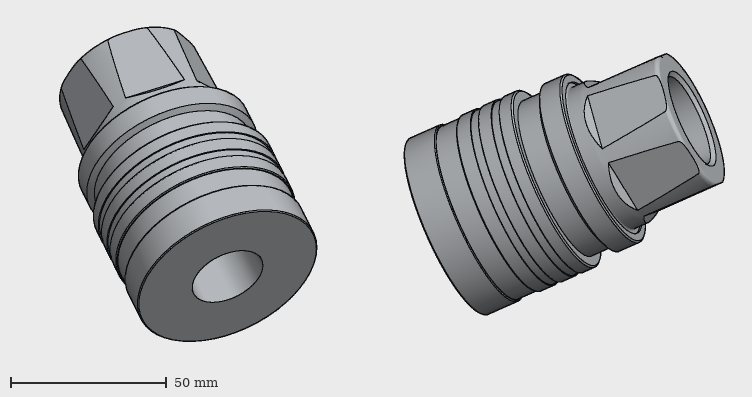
import cadquery as cq
import math

length = 88.3

nose_front_radius = 23.5
nose_end = 27.1
nose_fillet = 1.5

flat_count = 6
flat_distance = 22.5
flat_end = 25.0

neck_radius = 24.8

collar_start = 32.0
collar_taper_start = 39.8
collar_taper_end = 41.0
collar_radius = 29.5
collar_taper_small_radius = 27.3

undercut_outer_radius = 26.5
undercut_depth = 0.7

sleeve_start = 48.8
sleeve_radius = 31.0
front_chamfer = 0.5
rear_chamfer = 0.35
narrow_groove_starts = (53.7, 61.2)
narrow_groove_width = 2.9
narrow_groove_depth = 0.4
wide_groove_start = 69.3
wide_groove_end = 76.8
wide_groove_depth = 0.6

through_radius = 12.2
counterbore_radius = 15.3
counterbore_depth = 21.55
mouth_chamfer = 1.3


def turn(outline):
    """Revolve a closed (x, radius) outline about the X axis."""
    return outline.close().revolve(360, (0, 0, 0), (1, 0, 0))


def make_narrow_groove(start):
    """Ring cutter for a shallow groove in the sleeve."""
    floor_radius = sleeve_radius - narrow_groove_depth
    outer_radius = sleeve_radius + narrow_groove_depth
    profile = cq.Workplane("YZ", origin=(start, 0, 0)).circle(outer_radius).circle(floor_radius)
    return profile.extrude(narrow_groove_width)


def make_nose():
    """Cone with a rounded front edge and six flats."""
    cone = turn(
        cq.Workplane("XY")
        .lineTo(0, nose_front_radius)
        .lineTo(nose_end, neck_radius)
        .lineTo(collar_start, neck_radius)
        .lineTo(collar_start, 0)
    )
    cone = cone.faces("<X").edges().fillet(nose_fillet)
    cutter_height = sleeve_radius - flat_distance
    cutter = (
        cq.Workplane("XZ")
        .moveTo(0, flat_distance)
        .lineTo(flat_end, flat_distance)
        .lineTo(flat_end + cutter_height, sleeve_radius)
        .lineTo(0, sleeve_radius)
        .close()
        .extrude(sleeve_radius, both=True)
    )
    for i in range(flat_count):
        cone = cone.cut(cutter.rotate((0, 0, 0), (1, 0, 0), i * 360 / flat_count))
    return cone


def make_body():
    """Collar, waist and sleeve."""
    return turn(
        cq.Workplane("XY")
        .moveTo(collar_start, 0)
        .lineTo(collar_start, collar_radius - front_chamfer)
        .lineTo(collar_start + front_chamfer, collar_radius)
        .lineTo(collar_taper_start, collar_radius)
        .lineTo(collar_taper_end, collar_taper_small_radius)
        .lineTo(sleeve_start, collar_taper_small_radius)
        .lineTo(sleeve_start, sleeve_radius - front_chamfer)
        .lineTo(sleeve_start + front_chamfer, sleeve_radius)
        .lineTo(wide_groove_start - rear_chamfer, sleeve_radius)
        .lineTo(wide_groove_start, sleeve_radius - rear_chamfer)
        .lineTo(wide_groove_start, sleeve_radius - wide_groove_depth)
        .lineTo(wide_groove_end, sleeve_radius - wide_groove_depth)
        .lineTo(wide_groove_end, sleeve_radius - rear_chamfer)
        .lineTo(wide_groove_end + rear_chamfer, sleeve_radius)
        .lineTo(length - rear_chamfer, sleeve_radius)
        .lineTo(length, sleeve_radius - rear_chamfer)
        .lineTo(length, 0)
    )


def make_undercut():
    """Groove cutter whose inner floor corner leaves a fillet against the neck."""
    floor = collar_start + undercut_depth
    corner = undercut_depth * (1 - math.sqrt(0.5))
    return turn(
        cq.Workplane("XY")
        .moveTo(collar_start, neck_radius)
        .threePointArc((floor - corner, neck_radius + corner), (floor, neck_radius + undercut_depth))
        .lineTo(floor, undercut_outer_radius)
        .lineTo(collar_start, undercut_outer_radius)
    )


def make_bore():
    """Chamfered counterbore followed by the through hole."""
    return turn(
        cq.Workplane("XY")
        .lineTo(0, counterbore_radius + mouth_chamfer)
        .lineTo(mouth_chamfer, counterbore_radius)
        .lineTo(counterbore_depth, counterbore_radius)
        .lineTo(counterbore_depth, through_radius)
        .lineTo(length, through_radius)
        .lineTo(length, 0)
    )


result = make_nose().union(make_body()).cut(make_undercut())

for groove_start in narrow_groove_starts:
    result = result.cut(make_narrow_groove(groove_start))

result = result.cut(make_bore())